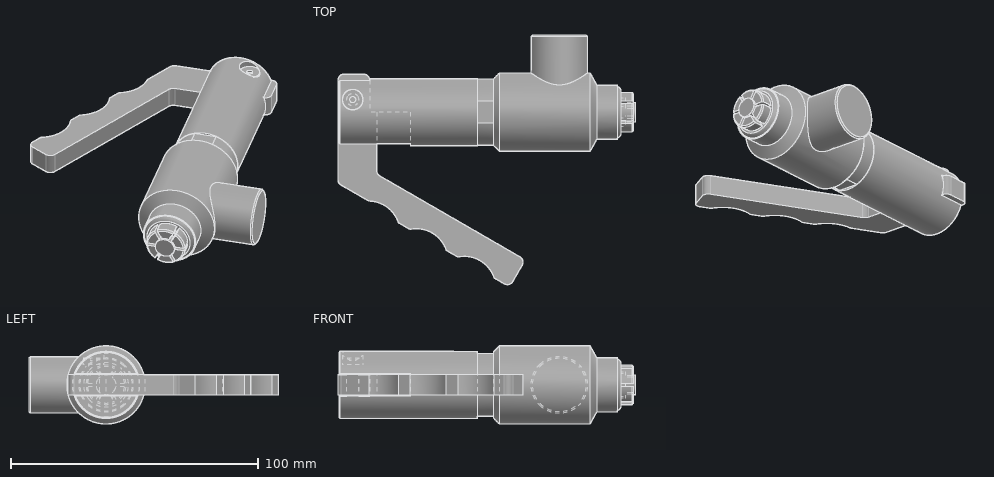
import cadquery as cq
import math


TUBE_START = 0.45
TUBE_DIA = 27.2
TUBE_END = 56.4
TUBE_END_CHAMFER = 0.45

NECK_DIA = 26.92
NECK_FLATS = 25.4

BARREL_START = 62.9
BARREL_DIA = 31.75
BARREL_CHAMFER = 2.4
BARREL_END = 102.0
SHOULDER_LENGTH = 2.7
NOSE_DIA = 21.97
NOSE_END = 113.0
NOSE_STEP = 0.45
NOSE_ROUNDING = 1.5
NOSE_ROUNDING_RADIUS = 3.0
NOSE_FACE = NOSE_END + NOSE_ROUNDING

COLLET_DIA = 16.1
COLLET_END = 119.5
COLLET_CHAMFER = 0.6
COLLET_SLOTS = 6
COLLET_SLOT_WIDTH = 1.15
COLLET_CORE_DIA = 11.5
COLLET_CORE_END = 116.2
TIP_DIA = 8.0
TIP_END = 120.37

PORT_X = 89.5
PORT_DIA = 22.86
PORT_END_Y = 31.2
PORT_CHAMFER = 0.6

LEVER_THICKNESS = 8.38
LEVER_TOP = 15.43
SHANK_WIDTH = 15.75
HEAD_WIDTH = 12.9
HEAD_STEP_Y = 0.0
CORNER_RADIUS = 2.54
HANDLE_ANGLE = 30.0
HANDLE_THICKNESS = 12.7
HANDLE_INNER = -13.8
HANDLE_OUTER = HANDLE_INNER - HANDLE_THICKNESS
HANDLE_HEEL = -24.9
HANDLE_END = 95.5
SCALLOP_RADIUS = 12.7
SCALLOP_CHORD = 16.95
SCALLOP_PITCH = 22.35
SCALLOP_COUNT = 3
FIRST_SCALLOP = 35.05

SLOT_WIDTH = 9.0
SLOT_END = 29.3

PIN_X = 6.0
PIN_Y = 5.08
PIN_HEAD_DIA = 8.16
PIN_RECESS_DIA = 8.33
PIN_RECESS_DEPTH = 2.5
PIN_HEAD_TOP = 10.8
PIN_SHAFT_DIA = 4.83
LEVER_PIVOT_DIA = 4.98
PIN_DIMPLE_DIA = 2.5
PIN_DIMPLE_DEPTH = 1.0


def rod(start, end, diameter):
    """Cylinder along X between two stations."""
    return cq.Workplane("YZ", origin=(start, 0, 0)).circle(diameter / 2).extrude(end - start)


def post(bottom, top, diameter):
    """Cylinder along Z on the pivot axis."""
    return cq.Workplane("XY", origin=(PIN_X, PIN_Y, bottom)).circle(diameter / 2).extrude(top - bottom)


def block(x_start, x_end, y_start, y_end, z_size):
    """Box centred on Z = 0."""
    return (
        cq.Workplane("XY")
        .box(x_end - x_start, y_end - y_start, z_size, centered=(False, False, True))
        .translate((x_start, y_start, 0))
    )


def make_grip_tube():
    tube = rod(TUBE_START, TUBE_END, TUBE_DIA)
    return tube.faces("<X").chamfer(TUBE_END_CHAMFER)


def make_neck():
    neck = rod(TUBE_END, BARREL_START, NECK_DIA)
    return neck.intersect(block(TUBE_END, BARREL_START, -NECK_DIA, NECK_DIA, NECK_FLATS))


def make_barrel():
    """Barrel, shoulder and nose turned about the X axis."""
    barrel_radius = BARREL_DIA / 2
    nose_radius = NOSE_DIA / 2
    step_radius = nose_radius - NOSE_STEP
    return (
        cq.Workplane("XY")
        .moveTo(BARREL_START, 0)
        .lineTo(BARREL_START, barrel_radius - BARREL_CHAMFER)
        .lineTo(BARREL_START + BARREL_CHAMFER, barrel_radius)
        .lineTo(BARREL_END, barrel_radius)
        .lineTo(BARREL_END + SHOULDER_LENGTH, nose_radius)
        .lineTo(NOSE_END, nose_radius)
        .lineTo(NOSE_END, step_radius)
        .radiusArc((NOSE_FACE, step_radius - NOSE_ROUNDING), NOSE_ROUNDING_RADIUS)
        .lineTo(NOSE_FACE, 0)
        .close()
        .revolve(360, (0, 0, 0), (1, 0, 0))
    )


def make_collet():
    """Slotted ring around a stepped core and a projecting tip."""
    collet = rod(NOSE_FACE, COLLET_END, COLLET_DIA).faces(">X").chamfer(COLLET_CHAMFER)
    slot = block(NOSE_FACE, COLLET_END, 0, COLLET_DIA, COLLET_SLOT_WIDTH)
    for index in range(COLLET_SLOTS):
        angle = index * 360 / COLLET_SLOTS
        collet = collet.cut(slot.rotate((0, 0, 0), (1, 0, 0), angle))
    core = rod(NOSE_FACE, COLLET_CORE_END, COLLET_CORE_DIA)
    tip = rod(NOSE_FACE, TIP_END, TIP_DIA)
    return collet.union(core).union(tip)


def make_port():
    port = cq.Workplane("XZ", origin=(PORT_X, 0, 0)).circle(PORT_DIA / 2).extrude(-PORT_END_Y)
    return port.faces(">Y").chamfer(PORT_CHAMFER)


def make_lever_slot():
    """Slot through the tube: long below the step, only as wide as the lever head above it."""
    long_part = block(0, SLOT_END, -TUBE_DIA, HEAD_STEP_Y, SLOT_WIDTH)
    head_part = block(0, HEAD_WIDTH, HEAD_STEP_Y, TUBE_DIA, SLOT_WIDTH)
    return long_part.union(head_part)


def make_pin():
    """Pivot pin crossing the slot, with a dimpled head sunk in the tube."""
    head_bottom = PIN_HEAD_TOP - PIN_RECESS_DEPTH
    shaft = post(-head_bottom, head_bottom, PIN_SHAFT_DIA)
    head = post(head_bottom, PIN_HEAD_TOP, PIN_HEAD_DIA)
    dimple = post(PIN_HEAD_TOP - PIN_DIMPLE_DEPTH, PIN_HEAD_TOP, PIN_DIMPLE_DIA)
    return shaft.union(head).cut(dimple)


def make_housing():
    recess = post(PIN_HEAD_TOP - PIN_RECESS_DEPTH, TUBE_DIA, PIN_RECESS_DIA)
    tube = make_grip_tube().cut(make_lever_slot()).cut(recess).union(make_pin())
    return tube.union(make_neck()).union(make_barrel()).union(make_port()).union(make_collet())


def handle_point(along, across):
    """Point given along and square to the sloping handle direction."""
    angle = math.radians(HANDLE_ANGLE)
    x = along * math.cos(angle) + across * math.sin(angle)
    y = -along * math.sin(angle) + across * math.cos(angle)
    return (x, y)


def handle_edge_y(x, across):
    """Y where a handle edge meets the upright line at x."""
    angle = math.radians(HANDLE_ANGLE)
    return (across - x * math.sin(angle)) / math.cos(angle)


def make_lever():
    half_thickness = LEVER_THICKNESS / 2
    outline = [
        (0, LEVER_TOP),
        (HEAD_WIDTH, LEVER_TOP),
        (HEAD_WIDTH, HEAD_STEP_Y),
        (SHANK_WIDTH, HEAD_STEP_Y),
        (SHANK_WIDTH, handle_edge_y(SHANK_WIDTH, HANDLE_INNER)),
        handle_point(HANDLE_END, HANDLE_INNER),
        handle_point(HANDLE_END, HANDLE_OUTER),
        handle_point(FIRST_SCALLOP, HANDLE_OUTER),
        handle_point(FIRST_SCALLOP, HANDLE_HEEL),
        (0, handle_edge_y(0, HANDLE_HEEL)),
    ]
    blank = cq.Workplane("XY", origin=(0, 0, -half_thickness)).polyline(outline).close()
    lever = blank.extrude(LEVER_THICKNESS)

    for corner in (outline[0], outline[1], outline[4], outline[5], outline[6], outline[9]):
        nearest = cq.selectors.NearestToPointSelector((corner[0], corner[1], 0))
        lever = lever.edges("|Z").edges(nearest).fillet(CORNER_RADIUS)

    scallop_offset = math.sqrt(SCALLOP_RADIUS**2 - (SCALLOP_CHORD / 2) ** 2)
    for index in range(SCALLOP_COUNT):
        center = handle_point(FIRST_SCALLOP + index * SCALLOP_PITCH, HANDLE_OUTER - scallop_offset)
        cutter = cq.Workplane("XY", origin=(center[0], center[1], -half_thickness))
        lever = lever.cut(cutter.circle(SCALLOP_RADIUS).extrude(LEVER_THICKNESS))

    return lever.cut(post(-half_thickness, half_thickness, LEVER_PIVOT_DIA))


housing = make_housing()
lever = make_lever()

result = cq.Compound.makeCompound([housing.val(), lever.val()])